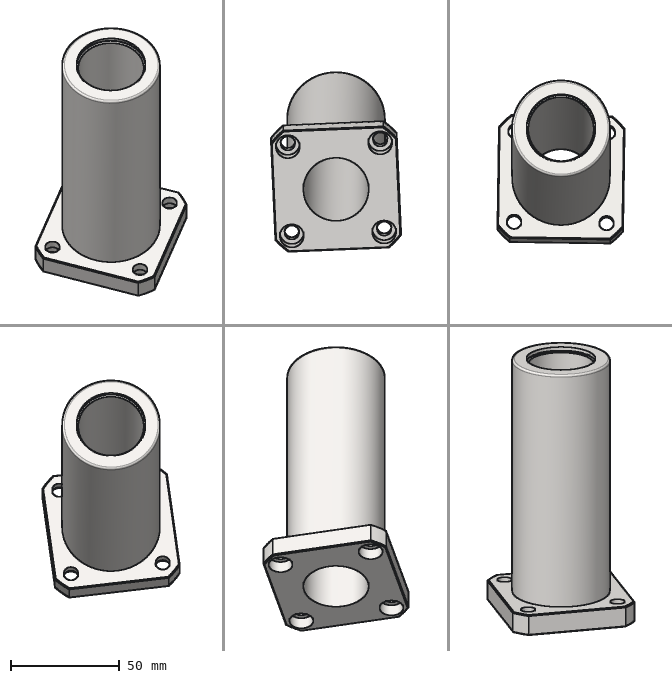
import cadquery as cq

flange_diameter = 73.9
flange_side = 57.8
flange_thickness = 10.0
flange_chamfer = 0.5

mount_hole_diameter = 6.6
counterbore_diameter = 11.0
counterbore_depth = 5.9
mount_circle_diameter = 60.0
mount_hole_count = 4

total_height = 123.0
sleeve_diameter = 45.0
sleeve_edge_radius = 1.0
bore_diameter = 30.0
recess_diameter = 31.6
recess_depth = 1.8
groove_diameter = 33.2
groove_width = 0.6


def make_flange():
    disc = cq.Workplane("XY").circle(flange_diameter / 2).extrude(flange_thickness)
    square = (
        cq.Workplane("XY")
        .rect(flange_side, flange_side)
        .extrude(flange_thickness)
        .rotate((0, 0, 0), (0, 0, 1), 45)
    )
    return disc.intersect(square).faces("<Z or >Z").edges().chamfer(flange_chamfer)


def make_sleeve():
    sleeve = cq.Workplane("XY").circle(sleeve_diameter / 2).extrude(total_height)
    return sleeve.faces(">Z").edges().fillet(sleeve_edge_radius)


def make_cylinder(diameter, bottom, height):
    return cq.Workplane("XY", origin=(0, 0, bottom)).circle(diameter / 2).extrude(height)


def cut_bore(body):
    recess_floor = total_height - recess_depth
    groove_floor = recess_floor - groove_width
    bore = make_cylinder(bore_diameter, 0, total_height)
    recess = make_cylinder(recess_diameter, recess_floor, recess_depth)
    groove = make_cylinder(groove_diameter, groove_floor, groove_width)
    return body.cut(bore).cut(recess).cut(groove)


def make_mount_cylinders(diameter, height):
    return (
        cq.Workplane("XY")
        .polarArray(mount_circle_diameter / 2, 0, 360, mount_hole_count)
        .circle(diameter / 2)
        .extrude(height)
    )


def cut_mount_holes(body):
    holes = make_mount_cylinders(mount_hole_diameter, flange_thickness)
    counterbores = make_mount_cylinders(counterbore_diameter, counterbore_depth)
    return body.cut(holes).cut(counterbores)


result = cut_mount_holes(cut_bore(make_flange().union(make_sleeve())))